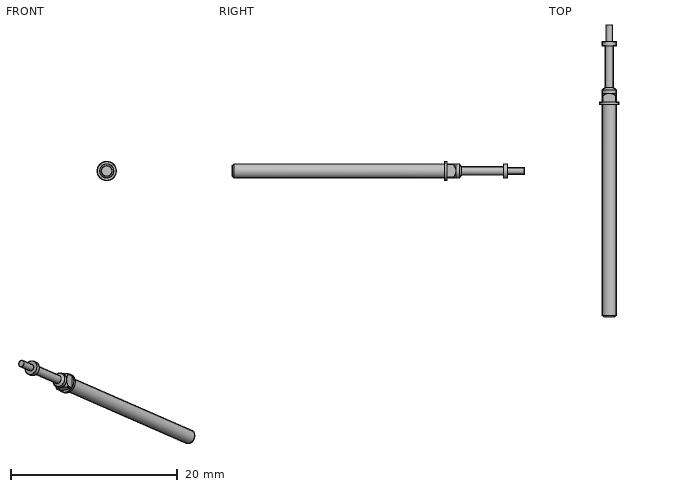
import cadquery as cq

length = 35.0

flange_d = 2.3
collar_d = 1.7
neck_d = 1.0
pin_d = 0.8
barrel_d = 1.68
square_corner_d = 2.28

pin_length = 2.0
collar_thickness = 0.52
neck_length = 5.0
shoulder_cone_length = 0.25
shoulder_length = 0.42
square_length = 1.05
flange_thickness = 0.3
barrel_chamfer = 0.2

pin_end = length / 2
collar_front = pin_end - pin_length
collar_back = collar_front - collar_thickness
shoulder_front = collar_back - neck_length
square_front = shoulder_front - shoulder_cone_length - shoulder_length
flange_front = square_front - square_length
flange_back = flange_front - flange_thickness
barrel_end = -length / 2


def cylinder(diameter, y_start, y_end):
    """Solid cylinder on the Y axis between two stations."""
    profile = cq.Workplane("XZ", origin=(0, y_start, 0)).circle(diameter / 2)
    return profile.extrude(y_start - y_end)


def make_shoulder():
    """Round shoulder with a short cone down to the neck."""
    shoulder = cylinder(collar_d, flange_front, shoulder_front)
    cone_run = (collar_d - neck_d) / 2
    return shoulder.faces(">Y").chamfer(shoulder_cone_length, cone_run)


def make_square():
    """Square drive whose corners are turned round and bevelled at the front."""
    block = (
        cq.Workplane("XZ", origin=(0, flange_front, 0))
        .rect(collar_d, collar_d)
        .extrude(-square_length)
    )
    corner_bevel = (square_corner_d - collar_d) / 2
    turned = cylinder(square_corner_d, flange_front, square_front).faces(">Y").chamfer(corner_bevel)
    return block.intersect(turned)


def make_barrel():
    """Long plain barrel with a chamfered free end."""
    barrel = cylinder(barrel_d, barrel_end, flange_back)
    return barrel.faces("<Y").chamfer(barrel_chamfer)


result = (
    make_barrel()
    .union(cylinder(flange_d, flange_back, flange_front))
    .union(make_square())
    .union(make_shoulder())
    .union(cylinder(neck_d, shoulder_front, collar_back))
    .union(cylinder(collar_d, collar_back, collar_front))
    .union(cylinder(pin_d, collar_front, pin_end))
)